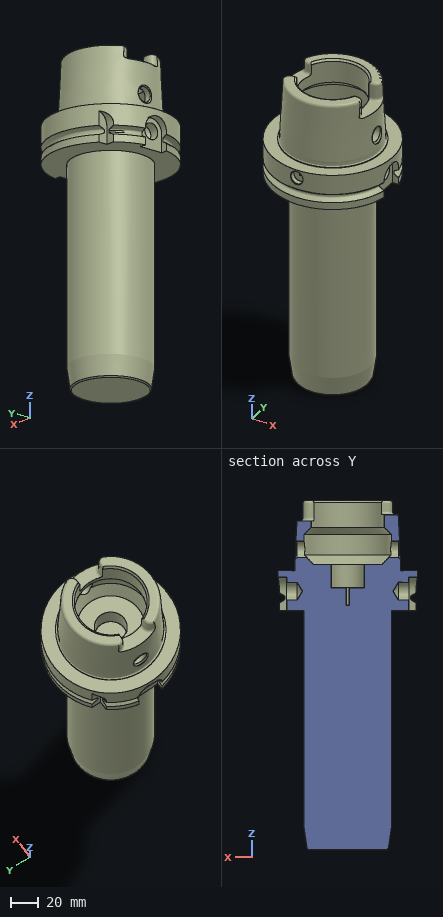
import cadquery as cq
import math

TOTAL_HEIGHT = 250.0
FLANGE_TOP_Z = 200.0
FLANGE_BOTTOM_Z = 171.0

SHANK_RADIUS = 31.5
SHANK_TIP_RADIUS = 29.2
SHANK_TAPER_TOP_Z = 16.5
SHANK_TIP_CHAMFER = 1.0

FLANGE_RADIUS = 50.0
GROOVE_RADIUS = 46.2
GROOVE_CENTER_Z = 180.2
GROOVE_FLOOR_HALF_WIDTH = 1.2
GROOVE_FILLET = 1.0
GROOVE_FLANK_ANGLE = 30.0
GROOVE_FLANK_HEIGHT = (FLANGE_RADIUS - GROOVE_RADIUS) * math.tan(math.radians(GROOVE_FLANK_ANGLE))
GROOVE_MOUTH_HALF_WIDTH = GROOVE_FLOOR_HALF_WIDTH + GROOVE_FLANK_HEIGHT

TAPER_TOP_RADIUS = 35.7
TAPER_LENGTH_PER_RADIUS = 20.0
TAPER_BOTTOM_Z = 203.5
TAPER_BOTTOM_RADIUS = TAPER_TOP_RADIUS + (TOTAL_HEIGHT - TAPER_BOTTOM_Z) / TAPER_LENGTH_PER_RADIUS
TAPER_NECK_RADIUS = 38.0
TAPER_NECK_STEP = 0.7
ROOT_FILLET = 1.0
RELIEF_OUTER_RADIUS = 39.5
RELIEF_DEPTH = 0.5
RIM_FILLET = 2.2
RIM_CHAMFER = 1.5

BORE_RADIUS = 26.0
BORE_LIP_Z = 230.7
CLAMP_GROOVE_RADIUS = 31.2
CLAMP_GROOVE_TOP_Z = BORE_LIP_Z - (CLAMP_GROOVE_RADIUS - BORE_RADIUS)
CLAMP_GROOVE_BOTTOM_Z = 211.0
BORE_FLOOR_RADIUS = 24.5
BORE_FLOOR_Z = CLAMP_GROOVE_BOTTOM_Z - (CLAMP_GROOVE_RADIUS - BORE_FLOOR_RADIUS)
TUBE_HOLE_RADIUS = 11.7
TUBE_HOLE_FLOOR_Z = 187.5
COOLANT_HOLE_RADIUS = 1.0
COOLANT_HOLE_DEPTH = 12.5

NOTCH_HALF_WIDTH = 10.0
NOTCH_CORNER_RADIUS = 5.0
NOTCH_SHOULDER_X = 32.2
NOTCH_FLOOR_FILLET = 2.2
NOTCH_LEFT_FLOOR_Z = 239.7
NOTCH_RIGHT_FLOOR_Z = 235.2

CLAMP_HOLE_RADIUS = 5.7
CLAMP_HOLE_Z = 215.0
CLAMP_SINK_RADIUS = 7.0
CLAMP_SINK_DEPTH = 1.2
CLAMP_SINK_OUTER_X = 37.5

KEYWAY_HALF_WIDTH = 10.0
KEYWAY_CENTER_Z = 185.0
KEYWAY_FLOOR_X = 43.7
INDEX_NOTCH_FLOOR_X = 31.5
INDEX_NOTCH_Y = 41.5

KEYWAY_HOLE_RADIUS = 6.2
KEYWAY_HOLE_DEPTH = 7.5
DRILL_TIP_HALF_ANGLE = 59.0

DATA_POCKET_RADIUS = 5.0
DATA_POCKET_Z = 193.2
DATA_POCKET_DEPTH = 4.5
DATA_POCKET_CHAMFER = 0.5
DATA_CENTER_RADIUS = 0.5
DATA_CENTER_DEPTH = 1.2

CUT_MARGIN = 12.5


def is_circle(edge, radius):
    """True for a circular edge of the given radius."""
    return edge.geomType() == "CIRCLE" and math.isclose(edge.radius(), radius, abs_tol=2.5e-06)


def make_body():
    """Shank, flange and hollow taper turned about Z."""
    neck_z = TAPER_BOTTOM_Z - TAPER_NECK_STEP
    relief_floor_z = FLANGE_TOP_Z - RELIEF_DEPTH
    fillet_mid = ROOT_FILLET * (1 - math.sqrt(0.5))
    profile = (
        cq.Workplane("XZ")
        .moveTo(0, 0)
        .lineTo(SHANK_TIP_RADIUS - SHANK_TIP_CHAMFER, 0)
        .lineTo(SHANK_TIP_RADIUS, SHANK_TIP_CHAMFER)
        .lineTo(SHANK_RADIUS, SHANK_TAPER_TOP_Z)
        .lineTo(SHANK_RADIUS, FLANGE_BOTTOM_Z)
        .lineTo(FLANGE_RADIUS, FLANGE_BOTTOM_Z)
        .lineTo(FLANGE_RADIUS, GROOVE_CENTER_Z - GROOVE_MOUTH_HALF_WIDTH)
        .lineTo(GROOVE_RADIUS, GROOVE_CENTER_Z - GROOVE_FLOOR_HALF_WIDTH)
        .lineTo(GROOVE_RADIUS, GROOVE_CENTER_Z + GROOVE_FLOOR_HALF_WIDTH)
        .lineTo(FLANGE_RADIUS, GROOVE_CENTER_Z + GROOVE_MOUTH_HALF_WIDTH)
        .lineTo(FLANGE_RADIUS, FLANGE_TOP_Z)
        .lineTo(RELIEF_OUTER_RADIUS, FLANGE_TOP_Z)
        .lineTo(RELIEF_OUTER_RADIUS, relief_floor_z)
        .lineTo(TAPER_NECK_RADIUS + ROOT_FILLET, relief_floor_z)
        .threePointArc(
            (TAPER_NECK_RADIUS + fillet_mid, relief_floor_z + fillet_mid),
            (TAPER_NECK_RADIUS, relief_floor_z + ROOT_FILLET),
        )
        .lineTo(TAPER_NECK_RADIUS, neck_z)
        .lineTo(TAPER_BOTTOM_RADIUS, TAPER_BOTTOM_Z)
        .lineTo(TAPER_TOP_RADIUS, TOTAL_HEIGHT)
        .lineTo(BORE_RADIUS + RIM_CHAMFER, TOTAL_HEIGHT)
        .lineTo(BORE_RADIUS, TOTAL_HEIGHT - RIM_CHAMFER)
        .lineTo(BORE_RADIUS, BORE_LIP_Z)
        .lineTo(CLAMP_GROOVE_RADIUS, CLAMP_GROOVE_TOP_Z)
        .lineTo(CLAMP_GROOVE_RADIUS, CLAMP_GROOVE_BOTTOM_Z)
        .lineTo(BORE_FLOOR_RADIUS, BORE_FLOOR_Z)
        .lineTo(TUBE_HOLE_RADIUS, BORE_FLOOR_Z)
        .lineTo(TUBE_HOLE_RADIUS, TUBE_HOLE_FLOOR_Z)
        .lineTo(COOLANT_HOLE_RADIUS, TUBE_HOLE_FLOOR_Z)
        .lineTo(COOLANT_HOLE_RADIUS, TUBE_HOLE_FLOOR_Z - COOLANT_HOLE_DEPTH)
        .lineTo(0, TUBE_HOLE_FLOOR_Z - COOLANT_HOLE_DEPTH)
        .close()
    )
    body = profile.revolve(360, (0, 0, 0), (0, 1, 0))
    groove_corners = body.edges().filter(lambda edge: is_circle(edge, GROOVE_RADIUS))
    return groove_corners.fillet(GROOVE_FILLET)


def drive_notch_cutter(side, floor_z):
    """Cutter that widens outward around the rounded ends of the rim; side is -1 or +1 along X."""
    inner_x = BORE_FLOOR_RADIUS - CUT_MARGIN
    outer_x = TAPER_BOTTOM_RADIUS + CUT_MARGIN
    bend_x = NOTCH_SHOULDER_X - NOTCH_CORNER_RADIUS
    bend_y = NOTCH_HALF_WIDTH + NOTCH_CORNER_RADIUS
    bend_mid = NOTCH_CORNER_RADIUS * math.sqrt(0.5)
    wide_y = bend_y + CUT_MARGIN
    cutter = (
        cq.Workplane("XY", origin=(0, 0, floor_z))
        .moveTo(side * inner_x, -NOTCH_HALF_WIDTH)
        .lineTo(side * bend_x, -NOTCH_HALF_WIDTH)
        .threePointArc(
            (side * (bend_x + bend_mid), -bend_y + bend_mid),
            (side * NOTCH_SHOULDER_X, -bend_y),
        )
        .lineTo(side * NOTCH_SHOULDER_X, -wide_y)
        .lineTo(side * outer_x, -wide_y)
        .lineTo(side * outer_x, wide_y)
        .lineTo(side * NOTCH_SHOULDER_X, wide_y)
        .lineTo(side * NOTCH_SHOULDER_X, bend_y)
        .threePointArc(
            (side * (bend_x + bend_mid), bend_y - bend_mid),
            (side * bend_x, NOTCH_HALF_WIDTH),
        )
        .lineTo(side * inner_x, NOTCH_HALF_WIDTH)
        .close()
        .extrude(TOTAL_HEIGHT - floor_z + CUT_MARGIN)
    )
    return cutter.faces("<Z").edges().fillet(NOTCH_FLOOR_FILLET)


def cone_along_x(wide_x, wide_radius, tip_x, tip_radius, z):
    """Cone or truncated cone whose axis is parallel to X."""
    direction = cq.Vector(1 if tip_x > wide_x else -1, 0, 0)
    base = cq.Vector(wide_x, 0, z)
    return cq.Workplane(obj=cq.Solid.makeCone(wide_radius, tip_radius, abs(tip_x - wide_x), base, direction))


def clamp_hole_cutter():
    """One cross hole through both taper walls, countersunk outside."""
    cutter = (
        cq.Workplane("YZ", origin=(-FLANGE_RADIUS, 0, 0))
        .center(0, CLAMP_HOLE_Z)
        .circle(CLAMP_HOLE_RADIUS)
        .extrude(2 * FLANGE_RADIUS)
    )
    for side in (-1, 1):
        outer_x = side * CLAMP_SINK_OUTER_X
        inner_x = side * (CLAMP_SINK_OUTER_X - CLAMP_SINK_DEPTH)
        cutter = cutter.union(cone_along_x(outer_x, CLAMP_SINK_RADIUS, inner_x, CLAMP_HOLE_RADIUS, CLAMP_HOLE_Z))
        rim_clearance = (
            cq.Workplane("YZ", origin=(outer_x, 0, 0))
            .center(0, CLAMP_HOLE_Z)
            .circle(CLAMP_SINK_RADIUS)
            .extrude(side * CUT_MARGIN)
        )
        cutter = cutter.union(rim_clearance)
    return cutter


def keyway_cutter(side, floor_x, center_y):
    """Slot with a round top, open outward in X and through the flange underside."""
    straight_height = KEYWAY_CENTER_Z - FLANGE_BOTTOM_Z
    length = side * (FLANGE_RADIUS + CUT_MARGIN - floor_x)
    plane = cq.Workplane("YZ", origin=(side * floor_x, center_y, KEYWAY_CENTER_Z))
    round_top = plane.circle(KEYWAY_HALF_WIDTH).extrude(length)
    straight = (
        plane.center(0, -straight_height / 2)
        .rect(2 * KEYWAY_HALF_WIDTH, straight_height)
        .extrude(length)
    )
    return round_top.union(straight)


def keyway_hole_cutter(side):
    """Blind drilled hole with a conical bottom in a keyway floor."""
    tip_length = KEYWAY_HOLE_RADIUS / math.tan(math.radians(DRILL_TIP_HALF_ANGLE))
    bottom_x = KEYWAY_FLOOR_X - KEYWAY_HOLE_DEPTH
    bore = (
        cq.Workplane("YZ", origin=(side * bottom_x, 0, KEYWAY_CENTER_Z))
        .circle(KEYWAY_HOLE_RADIUS)
        .extrude(side * KEYWAY_HOLE_DEPTH)
    )
    tip = cone_along_x(side * bottom_x, KEYWAY_HOLE_RADIUS, side * (bottom_x - tip_length), 0, KEYWAY_CENTER_Z)
    return bore.union(tip)


def data_pocket_cutter():
    """Shallow round pocket with a broken edge and a small centre mark."""
    mouth_radius = DATA_POCKET_RADIUS + DATA_POCKET_CHAMFER
    mark_depth = DATA_POCKET_DEPTH + DATA_CENTER_DEPTH
    profile = (
        cq.Workplane("XY", origin=(0, -FLANGE_RADIUS, DATA_POCKET_Z))
        .moveTo(0, -CUT_MARGIN)
        .lineTo(mouth_radius, -CUT_MARGIN)
        .lineTo(mouth_radius, 0)
        .lineTo(DATA_POCKET_RADIUS, DATA_POCKET_CHAMFER)
        .lineTo(DATA_POCKET_RADIUS, DATA_POCKET_DEPTH)
        .lineTo(DATA_CENTER_RADIUS, DATA_POCKET_DEPTH)
        .lineTo(DATA_CENTER_RADIUS, mark_depth)
        .lineTo(0, mark_depth)
        .close()
    )
    return profile.revolve(360, (0, 0, 0), (0, 1, 0))


result = make_body()

result = result.cut(drive_notch_cutter(-1, NOTCH_LEFT_FLOOR_Z))
result = result.cut(drive_notch_cutter(1, NOTCH_RIGHT_FLOOR_Z))
rim_edges = result.faces(">Z").edges().filter(lambda edge: not is_circle(edge, BORE_RADIUS + RIM_CHAMFER))
result = rim_edges.fillet(RIM_FILLET)

result = result.cut(clamp_hole_cutter())

for keyway_side in (-1, 1):
    result = result.cut(keyway_cutter(keyway_side, KEYWAY_FLOOR_X, 0))
    result = result.cut(keyway_hole_cutter(keyway_side))
result = result.cut(keyway_cutter(-1, INDEX_NOTCH_FLOOR_X, INDEX_NOTCH_Y))

result = result.cut(data_pocket_cutter())